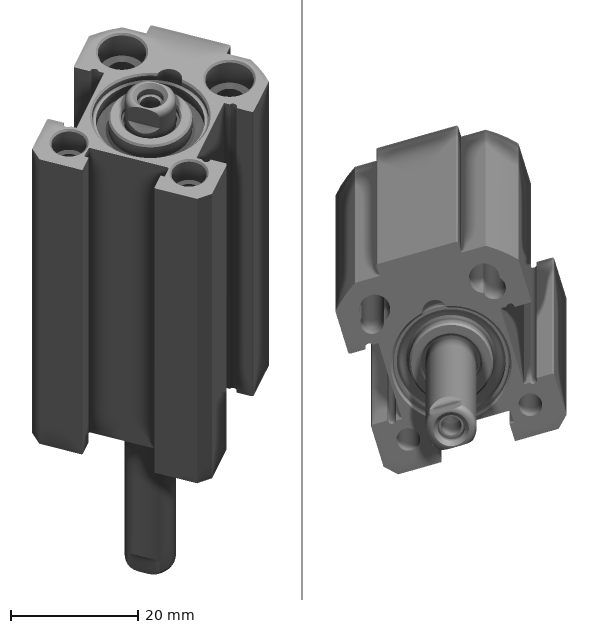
import cadquery as cq
import math

housing_height = 63.0
rod_top_overhang = 4.4
rod_length = 103.0
rod_top = housing_height + rod_top_overhang
rod_bottom = rod_top - rod_length

half_width = 14.99
front_y = -15.0
rear_y = 17.0
rear_corner_radius = 20.1
front_corner_chamfer = 1.9
tab_half_width = 6.7
tab_rear_y = 19.0
tab_edge_fillet = 0.3

side_slot_half_width = 6.1
front_slot_half_width = 6.0
side_slot_inner_half_width = 6.5
slot_floor = 10.0
side_lip_x = 11.5
side_lip_fillet = 0.3
relief_diameter = 1.3
relief_offset = 6.2
front_lip_y = -12.0
front_slot_inner_half_width = 6.7
front_slot_fillet = 0.3
front_lip_fillet = 0.2

screw_pitch = 10.0
screw_diameter = 3.7
front_bore_diameter = 5.6
front_bore_depth = 4.3
front_bore_chamfer = 0.3
rear_bore_x = 9.0
rear_bore_y = 11.9
rear_hole_diameter = 4.8
rear_bore_diameter = 7.6
rear_bore_depth = 4.7
rear_bore_chamfer = 0.3

cylinder_bore_diameter = 16.0
seat_diameter = 18.3
seat_depth = 8.2
mouth_diameter = 19.0
mouth_chamfer = (mouth_diameter - seat_diameter) / 2
notch_diameter = 4.1
notch_y = 8.8
notch_depth = 3.3
ring_inner_diameter = 17.1
ring_thickness = 2.1
ring_recess = 1.2
collar_recess = ring_recess + ring_thickness
boss_diameter = 13.2
boss_recess = 0.2
boss_chamfer = 0.3
boss_flare = 0.4
clearance_diameter = 8.4
clearance_depth = 2.1
collar_mouth_diameter = 9.2
collar_mouth_depth = 1.0
collar_mouth_chamfer = 0.3

rod_diameter = 8.0
rod_end_fillet = 1.2
flat_spacing = 6.1
flat_length = 3.6
thread_relief_diameter = 4.2
rod_hole_mouth = 5.6
rod_hole_chamfer = (rod_hole_mouth - thread_relief_diameter) / 2
thread_relief_depth = 1.9
rod_hole_depth = 8.2
drill_diameter = 3.2
drill_point_height = 0.9


def cylinder(diameter, bottom, top, x=0, y=0):
    return cq.Workplane("XY", origin=(x, y, bottom)).circle(diameter / 2).extrude(top - bottom)


def cone(bottom_diameter, top_diameter, bottom, top, x=0, y=0):
    solid = cq.Solid.makeCone(bottom_diameter / 2, top_diameter / 2, top - bottom, cq.Vector(x, y, bottom))
    return cq.Workplane(solid)


def chamfered_bore(diameter, chamfer, depth, x=0, y=0):
    """Cutter for a bore that enters the housing's top face and has a chamfered mouth."""
    bore = cylinder(diameter, housing_height - depth, housing_height, x, y)
    mouth = cone(diameter, diameter + 2 * chamfer, housing_height - chamfer, housing_height, x, y)
    return bore.union(mouth)


def mirrored_end(body):
    """The same body at the lower end of the housing."""
    return body.mirror("XY", (0, 0, housing_height / 2))


def side_slot(side):
    center_x = side * (slot_floor + half_width) / 2
    lip_gap = cq.Workplane("XY").center(center_x, 0).rect(
        half_width - slot_floor, 2 * side_slot_half_width).extrude(housing_height)
    inner_x = side * (slot_floor + side_lip_x) / 2
    inner = cq.Workplane("XY").center(inner_x, 0).rect(
        side_lip_x - slot_floor, 2 * side_slot_inner_half_width).extrude(housing_height)
    slot = lip_gap.union(inner)
    for y in (-relief_offset, relief_offset):
        slot = slot.union(cylinder(relief_diameter, 0, housing_height, side * side_lip_x, y))
    return slot


def front_slot():
    lip_gap = cq.Workplane("XY").center(0, (front_y + front_lip_y) / 2).rect(
        2 * front_slot_half_width, front_lip_y - front_y).extrude(housing_height)
    inner = cq.Workplane("XY").center(0, (front_lip_y - slot_floor) / 2).rect(
        2 * front_slot_inner_half_width, -front_lip_y - slot_floor).extrude(housing_height)
    inner = inner.edges("|Z and >Y").fillet(front_slot_fillet)
    return inner.union(lip_gap)


def edge_at(x, y):
    """Selector for the full-height vertical edge at (x, y)."""
    return cq.selectors.NearestToPointSelector((x, y, housing_height / 2))


def round_slot_lips(body):
    for side in (-1, 1):
        for y in (-side_slot_half_width, side_slot_half_width):
            body = body.edges("|Z").edges(edge_at(side * half_width, y)).fillet(side_lip_fillet)
        body = body.edges("|Z").edges(edge_at(side * front_slot_half_width, front_y)).fillet(front_lip_fillet)
    return body


def extrusion():
    arc_start_y = math.sqrt(rear_corner_radius**2 - half_width**2)
    arc_end_x = math.sqrt(rear_corner_radius**2 - rear_y**2)
    arc_angle = (math.atan2(arc_start_y, half_width) + math.atan2(rear_y, arc_end_x)) / 2
    arc_x = rear_corner_radius * math.cos(arc_angle)
    arc_y = rear_corner_radius * math.sin(arc_angle)
    chamfer_x = half_width - front_corner_chamfer
    body = (
        cq.Workplane("XY")
        .moveTo(-chamfer_x, front_y)
        .lineTo(chamfer_x, front_y)
        .lineTo(half_width, front_y + front_corner_chamfer)
        .lineTo(half_width, arc_start_y)
        .threePointArc((arc_x, arc_y), (arc_end_x, rear_y))
        .lineTo(-arc_end_x, rear_y)
        .threePointArc((-arc_x, arc_y), (-half_width, arc_start_y))
        .lineTo(-half_width, front_y + front_corner_chamfer)
        .close()
        .extrude(housing_height)
    )
    tab = cq.Workplane("XY").center(0, tab_rear_y / 2).rect(
        2 * tab_half_width, tab_rear_y).extrude(housing_height)
    tab = tab.edges("|Z and >Y").fillet(tab_edge_fillet)
    body = body.union(tab).cut(front_slot())
    for side in (-1, 1):
        body = body.cut(side_slot(side))
    return round_slot_lips(body)


def bore_end():
    """Cutter for the collar seat, its chamfered mouth and the ring notch at the top end."""
    seat = chamfered_bore(seat_diameter, mouth_chamfer, seat_depth)
    return seat.union(cylinder(notch_diameter, housing_height - notch_depth, housing_height, 0, notch_y))


def make_housing():
    body = extrusion()
    body = body.cut(cylinder(cylinder_bore_diameter, 0, housing_height))
    body = body.cut(bore_end()).cut(mirrored_end(bore_end()))
    for side in (-1, 1):
        for y in (-screw_pitch, screw_pitch):
            body = body.cut(cylinder(screw_diameter, 0, housing_height, side * screw_pitch, y))
        front_bore = chamfered_bore(
            front_bore_diameter, front_bore_chamfer, front_bore_depth, side * screw_pitch, -screw_pitch)
        rear_bore = chamfered_bore(
            rear_bore_diameter, rear_bore_chamfer, rear_bore_depth, side * rear_bore_x, rear_bore_y)
        rear_hole = cylinder(rear_hole_diameter, 0, housing_height, side * rear_bore_x, rear_bore_y)
        body = body.cut(front_bore).cut(rear_bore).cut(rear_hole)
    return body


def make_collar():
    """Rod collar at the top end, with a raised boss around the rod."""
    flange_top = housing_height - collar_recess
    boss_top = housing_height - boss_recess
    flange = cylinder(seat_diameter, housing_height - seat_depth, flange_top)
    boss = cylinder(boss_diameter, flange_top, boss_top).faces(">Z").edges().chamfer(boss_chamfer)
    flare = cone(boss_diameter + 2 * boss_flare, boss_diameter, flange_top, flange_top + boss_flare)
    hole = cylinder(rod_diameter, housing_height - seat_depth, boss_top)
    clearance = cylinder(clearance_diameter, boss_top - clearance_depth, boss_top)
    hole_mouth = cylinder(collar_mouth_diameter, boss_top - collar_mouth_depth, boss_top)
    mouth_edge = cone(collar_mouth_diameter, collar_mouth_diameter + 2 * collar_mouth_chamfer,
                      boss_top - collar_mouth_chamfer, boss_top)
    collar = flange.union(boss).union(flare)
    for cutter in (hole, clearance, hole_mouth, mouth_edge):
        collar = collar.cut(cutter)
    return collar


def make_retaining_ring():
    top = housing_height - ring_recess
    ring = cylinder(seat_diameter, top - ring_thickness, top)
    return ring.cut(cylinder(ring_inner_diameter, top - ring_thickness, top))


def rod_flat(side):
    """Cutter for a wrench flat at the rod's top end, with a 45 degree run-out."""
    rod_radius = rod_diameter / 2
    flat_y = flat_spacing / 2
    run_out = rod_radius - flat_y
    flat_bottom = rod_top - flat_length
    return (
        cq.Workplane("YZ")
        .polyline([
            (side * flat_y, rod_top),
            (side * flat_y, flat_bottom),
            (side * rod_radius, flat_bottom - run_out),
            (side * rod_radius, rod_top),
        ])
        .close()
        .extrude(rod_radius, both=True)
    )


def rod_end_hole():
    """Cutter for the drilled hole in the rod's top end."""
    bottom = rod_top - rod_hole_depth
    drill = cylinder(drill_diameter, bottom, rod_top)
    point = cone(0, drill_diameter, bottom - drill_point_height, bottom)
    relief = cylinder(thread_relief_diameter, rod_top - thread_relief_depth, rod_top)
    mouth = cone(thread_relief_diameter, rod_hole_mouth, rod_top - rod_hole_chamfer, rod_top)
    return drill.union(point).union(relief).union(mouth)


def make_rod():
    rod = cylinder(rod_diameter, rod_bottom, rod_top)
    rod = rod.faces("<Z or >Z").edges().fillet(rod_end_fillet)
    middle = (rod_top + rod_bottom) / 2
    for cutter in (rod_flat(-1), rod_flat(1), rod_end_hole()):
        rod = rod.cut(cutter).cut(cutter.mirror("XY", (0, 0, middle)))
    return rod


housing = make_housing()
rod = make_rod()
top_collar = make_collar()
top_ring = make_retaining_ring()
collars = [top_collar, mirrored_end(top_collar)]
rings = [top_ring, mirrored_end(top_ring)]

result = cq.Compound.makeCompound(
    [housing.val(), rod.val(), *[collar.val() for collar in collars], *[ring.val() for ring in rings]]
)